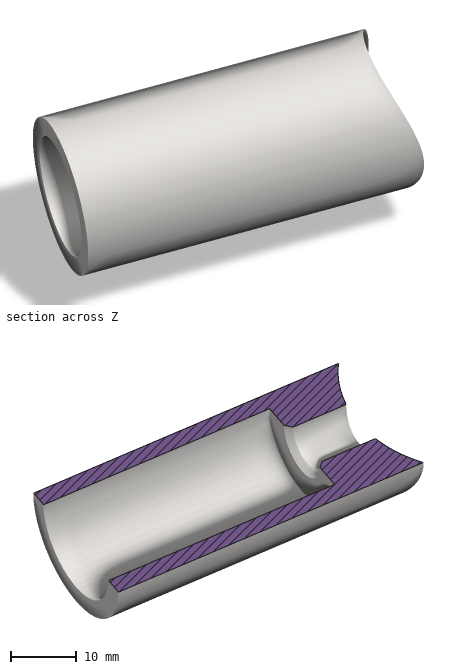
import cadquery as cq
import math

length = 54.1
outer_diameter = 25.0
bore_diameter = 19.0
saddle_radius = 21.2

web_thickness = 10.0
hole_diameter = 8.5
countersink_diameter = 10.5

outer_radius = outer_diameter / 2
saddle_axis_y = length + math.sqrt(saddle_radius**2 - outer_radius**2)
saddle_low_y = saddle_axis_y - saddle_radius
bore_depth = saddle_low_y - web_thickness


def rod_along_y(diameter, start_y, end_y):
    """Solid cylinder on the Y axis between two Y positions."""
    return cq.Workplane("XZ", origin=(0, start_y, 0)).circle(diameter / 2).extrude(start_y - end_y)


def saddle_cutter():
    """Cylinder parallel to Z that shapes the end to sit against a round post."""
    return (
        cq.Workplane("XY")
        .center(0, saddle_axis_y)
        .circle(saddle_radius)
        .extrude(outer_radius, both=True)
    )


def countersink_cutter():
    """45 degree cone that opens the through hole at the bore floor."""
    cone_depth = (countersink_diameter - hole_diameter) / 2
    cone = cq.Solid.makeCone(
        countersink_diameter / 2,
        hole_diameter / 2,
        cone_depth,
        pnt=cq.Vector(0, bore_depth, 0),
        dir=cq.Vector(0, 1, 0),
    )
    return cq.Workplane(obj=cone)


result = (
    rod_along_y(outer_diameter, 0, length)
    .cut(saddle_cutter())
    .cut(rod_along_y(bore_diameter, 0, bore_depth))
    .cut(rod_along_y(hole_diameter, 0, length))
    .cut(countersink_cutter())
)